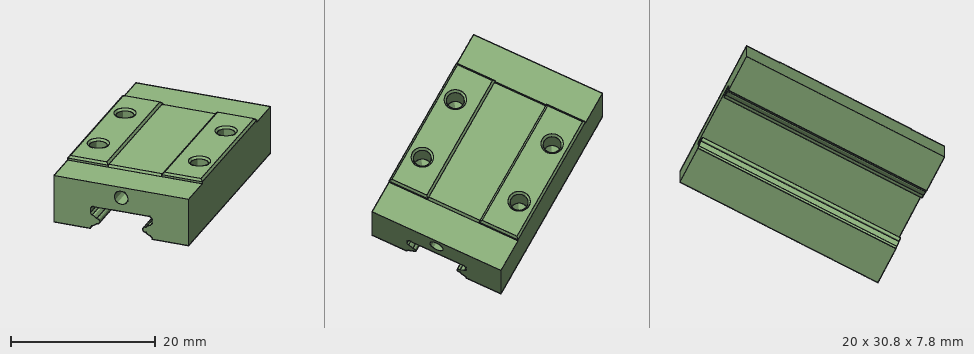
import cadquery as cq
import math

width = 20.0
length = 30.8
height = 7.8

pad_step = 0.3
pad_length = 20.5
strip_width = 7.95
body_height = height - 2 * pad_step

channel_half_width = 4.6
channel_height = 3.45
channel_corner = 0.35

rib_z = 1.3
rib_root_rise = 1.1
rib_bevel = 0.28
shoulder_x = 3.97
shoulder_rise = 0.68
shoulder_end_x = 3.65
nose_radius = 0.4
nose_center_x = 3.57

hole_diameter = 2.45
countersink_diameter = 3.08
hole_depth = 3.0
hole_pitch_x = 15.0
hole_pitch_y = 10.0
drill_point_angle = 118

port_diameter = 2.0
port_depth = 3.08
port_z = 5.57


def make_body():
    return cq.Workplane("XY").box(width, length, body_height, centered=(True, True, False))


def make_raised_block(center_x, block_width, top_z, bevel_edges):
    """Block rooted inside the body, with the chosen top edges bevelled."""
    root_z = body_height - pad_step
    return (
        cq.Workplane("XY", origin=(center_x, 0, root_z))
        .box(block_width, pad_length, top_z - root_z, centered=(True, True, False))
        .faces(">Z")
        .edges(bevel_edges)
        .chamfer(pad_step)
    )


def make_pads():
    """Two mounting pads with a lower strip between them."""
    pad_width = (width - strip_width) / 2
    pad_center_x = (strip_width + pad_width) / 2
    pads = make_raised_block(0, strip_width, height - pad_step, "|X")
    for x in (-pad_center_x, pad_center_x):
        pads = pads.union(make_raised_block(x, pad_width, height, None))
    return pads


def make_channel():
    """Rail clearance with a stepped, round-nosed rib along each side."""
    ledge_x = channel_half_width - rib_bevel
    ledge_rise = rib_root_rise - rib_bevel
    half = (
        cq.Workplane("XZ")
        .moveTo(0, 0)
        .lineTo(channel_half_width, 0)
        .lineTo(channel_half_width, rib_z - rib_root_rise)
        .lineTo(ledge_x, rib_z - ledge_rise)
        .threePointArc((shoulder_x, rib_z - shoulder_rise), (shoulder_end_x, rib_z - nose_radius))
        .lineTo(nose_center_x, rib_z - nose_radius)
        .threePointArc((nose_center_x - nose_radius, rib_z), (nose_center_x, rib_z + nose_radius))
        .lineTo(shoulder_end_x, rib_z + nose_radius)
        .threePointArc((shoulder_x, rib_z + shoulder_rise), (ledge_x, rib_z + ledge_rise))
        .lineTo(channel_half_width, rib_z + rib_root_rise)
        .lineTo(channel_half_width, channel_height - channel_corner)
        .lineTo(channel_half_width - channel_corner, channel_height)
        .lineTo(0, channel_height)
        .close()
        .extrude(length / 2, both=True)
    )
    return half.union(half.mirror("YZ"))


def make_mounting_holes():
    """Four blind holes with a 45 degree countersink and a conical drill tip."""
    radius = hole_diameter / 2
    sink_radius = countersink_diameter / 2
    sink_depth = sink_radius - radius
    tip_depth = hole_depth + radius / math.tan(math.radians(drill_point_angle / 2))
    hole = (
        cq.Workplane("XZ")
        .moveTo(0, 0)
        .lineTo(sink_radius, 0)
        .lineTo(radius, -sink_depth)
        .lineTo(radius, -hole_depth)
        .lineTo(0, -tip_depth)
        .close()
        .revolve(360, (0, 0, 0), (0, 1, 0))
    )
    holes = cq.Workplane("XY")
    for x in (-hole_pitch_x / 2, hole_pitch_x / 2):
        for y in (-hole_pitch_y / 2, hole_pitch_y / 2):
            holes = holes.add(hole.translate((x, y, height)))
    return holes.combine()


def make_port():
    """Flat-bottomed blind hole in the end face."""
    return (
        cq.Workplane("XZ", origin=(0, -length / 2, port_z))
        .circle(port_diameter / 2)
        .extrude(-port_depth)
    )


result = (
    make_body()
    .union(make_pads())
    .cut(make_channel())
    .cut(make_mounting_holes())
    .cut(make_port())
)